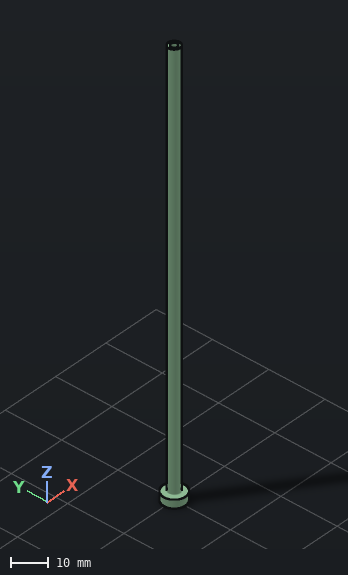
import cadquery as cq

total_length = 150.0
head_diameter = 8.0
head_height = 3.0
shank_diameter = 4.0
bore_diameter = 2.2
neck_fillet = 0.3

head = cq.Workplane("XY").circle(head_diameter / 2).extrude(head_height)
shank = cq.Workplane("XY").circle(shank_diameter / 2).extrude(total_length)
sleeve = head.union(shank)

neck_edge = cq.selectors.RadiusNthSelector(0)
sleeve = sleeve.faces("<Z[1]").edges(neck_edge).fillet(neck_fillet)

bore = cq.Workplane("XY").circle(bore_diameter / 2).extrude(total_length)
result = sleeve.cut(bore)